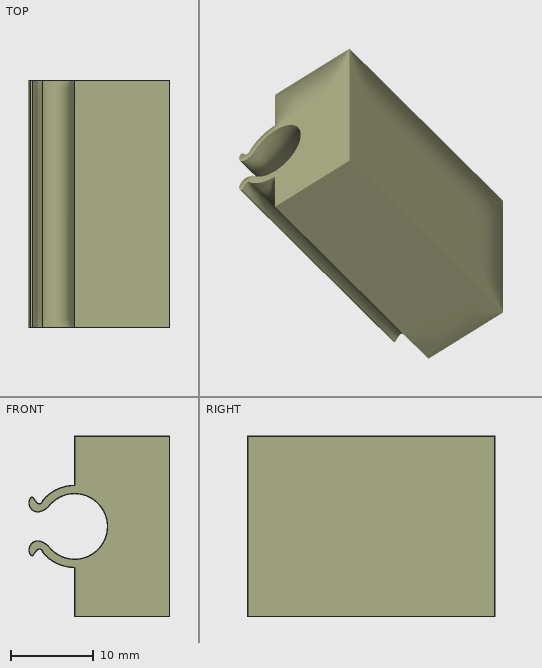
import cadquery as cq
import math

length = 30.0
block_height = 21.9
total_depth = 17.07

outer_radius = 10.0 / 2
wall = 1.02
bore_radius = outer_radius - wall
outer_end_angle = 141.0
bore_end_angle = 140.0

lip_radius = 1.1
lip_center = (-4.45, 2.85)
lip_tip_angle = 145.0
lip_tip_corner = (-5.13, 3.6)
notch_left = (-4.6, 2.9)
notch_bottom = (-4.32, 2.75)
lip_blend_middle = (-3.57, 2.07)

lip_reach = lip_radius - lip_center[0]
block_depth = total_depth - lip_reach


def polar(radius, angle, center=(0, 0)):
    """Point in the XZ plane at an angle in degrees from +X."""
    turn = math.radians(angle)
    return (center[0] + radius * math.cos(turn), center[1] + radius * math.sin(turn))


def make_block():
    block = cq.Workplane("XY").box(block_depth, length, block_height).translate((block_depth / 2, 0, 0))
    bore = cq.Workplane("XZ").circle(bore_radius).extrude(length / 2, both=True)
    return block.cut(bore)


def make_upper_arm():
    outer_middle_angle = (90 + outer_end_angle) / 2
    bore_middle_angle = (90 + bore_end_angle) / 2
    return (
        cq.Workplane("XZ")
        .moveTo(0, bore_radius)
        .lineTo(0, outer_radius)
        .threePointArc(polar(outer_radius, outer_middle_angle), polar(outer_radius, outer_end_angle))
        .threePointArc(notch_bottom, notch_left)
        .lineTo(*lip_tip_corner)
        .lineTo(*polar(lip_radius, lip_tip_angle, lip_center))
        .threePointArc(polar(lip_radius, 200, lip_center), polar(lip_radius, 270, lip_center))
        .threePointArc(lip_blend_middle, polar(bore_radius, bore_end_angle))
        .threePointArc(polar(bore_radius, bore_middle_angle), (0, bore_radius))
        .close()
        .extrude(length / 2, both=True)
    )


upper_arm = make_upper_arm()
lower_arm = upper_arm.mirror("XY")
result = make_block().union(upper_arm).union(lower_arm)